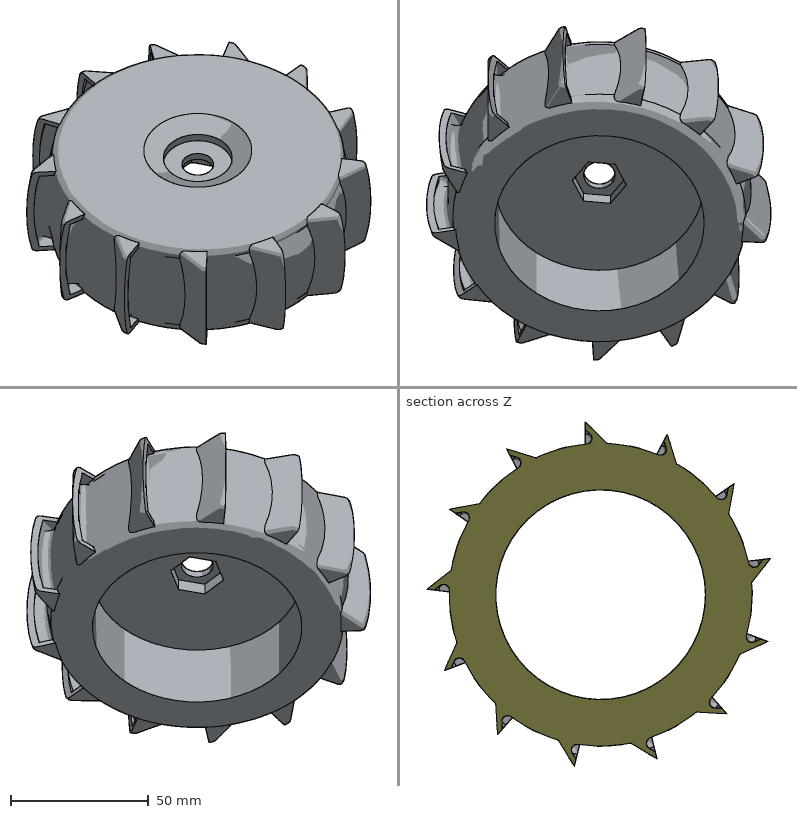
import cadquery as cq
import math

width = 41.68
half_width = width / 2
crown_radius_max = 55.05
shoulder_radius = 53.15
shoulder_fillet = 3.75
shoulder_height = 16.5

dish_chamfer_radius = 19.6
dish_radius = 19.0
dish_chamfer_depth = 0.4
counterbore_radius = 12.5
dish_depth = 3.8
counterbore_depth = 6.9
axle_radius = 5.7
axle_plate = 2.9
hex_across_flats = 17.0
hex_depth = 5.0
cavity_radius = 38.0

paddle_count = 13
paddle_half_width = 19.5
paddle_tip_radius = 63.0
face_offset = 5.65
back_angle = 45.0
paddle_root = 49.0
crest_radius = 80.0
paddle_fillet = 2.0
end_wall = 2.0
crest_wall = 2.65
front_overhang = 6.0
back_reach = 12.0

tip_height = math.sqrt(paddle_tip_radius**2 - face_offset**2)
fillet_drop = 0.18


def tyre_body():
    shoulder_start = shoulder_radius - shoulder_fillet
    fillet_centre = half_width - shoulder_fillet
    diagonal = shoulder_fillet * math.sqrt(0.5)
    mid_radius = shoulder_start + diagonal
    mid_height = fillet_centre + diagonal
    profile = (
        cq.Workplane("XZ")
        .moveTo(0, -half_width)
        .lineTo(shoulder_start, -half_width)
        .threePointArc((mid_radius, -mid_height), (shoulder_radius, -shoulder_height))
        .threePointArc((crown_radius_max, 0), (shoulder_radius, shoulder_height))
        .threePointArc((mid_radius, mid_height), (shoulder_start, half_width))
        .lineTo(0, half_width)
        .close()
    )
    return profile.revolve(360, (0, 0, 0), (0, 1, 0))


def crown_core():
    """Solid under the tread crown, carried on past the shoulders."""
    sag = crown_radius_max - shoulder_radius
    arc_radius = (shoulder_height**2 + sag**2) / (2 * sag)
    edge = crown_radius_max - arc_radius + math.sqrt(arc_radius**2 - half_width**2)
    profile = (
        cq.Workplane("XZ")
        .moveTo(0, -half_width)
        .lineTo(edge, -half_width)
        .threePointArc((crown_radius_max, 0), (edge, half_width))
        .lineTo(0, half_width)
        .close()
    )
    return profile.revolve(360, (0, 0, 0), (0, 1, 0))


def crest_slab(half_z, top):
    """Slab with an arched crest, reaching from in front of the face to behind the back."""
    front = -face_offset - front_overhang
    edge = top - crest_radius + math.sqrt(crest_radius**2 - half_z**2)
    return (
        cq.Workplane("YZ")
        .workplane(offset=front)
        .moveTo(paddle_root, -half_z)
        .lineTo(edge, -half_z)
        .threePointArc((top, 0), (edge, half_z))
        .lineTo(paddle_root, half_z)
        .close()
        .extrude(back_reach - front)
    )


def back_wedge(top, half_z):
    """Everything under a sloping back plane which meets the face at height top."""
    reach = 30.0
    drop = reach / math.tan(math.radians(back_angle))
    return (
        cq.Workplane("XY")
        .workplane(offset=-half_z)
        .moveTo(-face_offset - reach, top + drop)
        .lineTo(-face_offset + reach, top - drop)
        .lineTo(-face_offset - reach, top - drop)
        .close()
        .extrude(2 * half_z)
    )


def front_space():
    """Empty space in front of the scooped face."""
    size = 200.0
    return cq.Workplane("XY").box(size, size, size).translate((-face_offset - size / 2, 0, 0))


def paddle():
    """Solid paddle with rounded back and crest corners."""
    top = tip_height + fillet_drop
    blank = crest_slab(paddle_half_width, top).intersect(back_wedge(top, paddle_half_width))
    crest_corners = blank.edges("|X").edges(">Y")
    rounded_edges = blank.faces(">(1,1,0)").edges("not(<Y)").add(crest_corners)
    return rounded_edges.fillet(paddle_fillet).cut(front_space())


def scoop():
    """Hollow of one paddle, bounded by its walls and by the tread crown."""
    top = tip_height - crest_wall
    inner_half = paddle_half_width - end_wall
    hollow = crest_slab(inner_half, top).intersect(back_wedge(top, inner_half))
    hollow = hollow.cut(crown_core())
    hollow = hollow.faces(">(1,1,0)").edges("not(>Y)").fillet(paddle_fillet)
    return hollow.cut(front_space())


def hub_bore():
    """Dish, counterbore and axle hole."""
    profile = (
        cq.Workplane("XZ")
        .moveTo(0, half_width)
        .lineTo(dish_chamfer_radius, half_width)
        .lineTo(dish_radius, half_width - dish_chamfer_depth)
        .lineTo(counterbore_radius, half_width - dish_depth)
        .lineTo(counterbore_radius, half_width - counterbore_depth)
        .lineTo(axle_radius, half_width - counterbore_depth)
        .lineTo(axle_radius, -half_width)
        .lineTo(0, -half_width)
        .close()
    )
    return profile.revolve(360, (0, 0, 0), (0, 1, 0))


def back_recess():
    """Round cavity in the back with a hexagonal drive socket in its roof."""
    hex_top = half_width - counterbore_depth - axle_plate
    hex_bottom = hex_top - hex_depth
    hex_diameter = hex_across_flats / math.cos(math.pi / 6)
    socket = cq.Workplane("XY").workplane(offset=hex_bottom).polygon(6, hex_diameter).extrude(hex_depth)
    cavity = (
        cq.Workplane("XY")
        .workplane(offset=-half_width)
        .circle(cavity_radius)
        .extrude(hex_bottom + half_width)
    )
    return cavity.union(socket)


def wheel():
    blade = paddle().cut(scoop())
    turns = [index * 360 / paddle_count for index in range(paddle_count)]
    blades = [blade.rotate((0, 0, 0), (0, 0, 1), turn).val() for turn in turns]
    rim = tyre_body().cut(hub_bore()).cut(back_recess())
    return cq.Workplane("XY").newObject([rim.val().fuse(*blades)])


result = wheel()